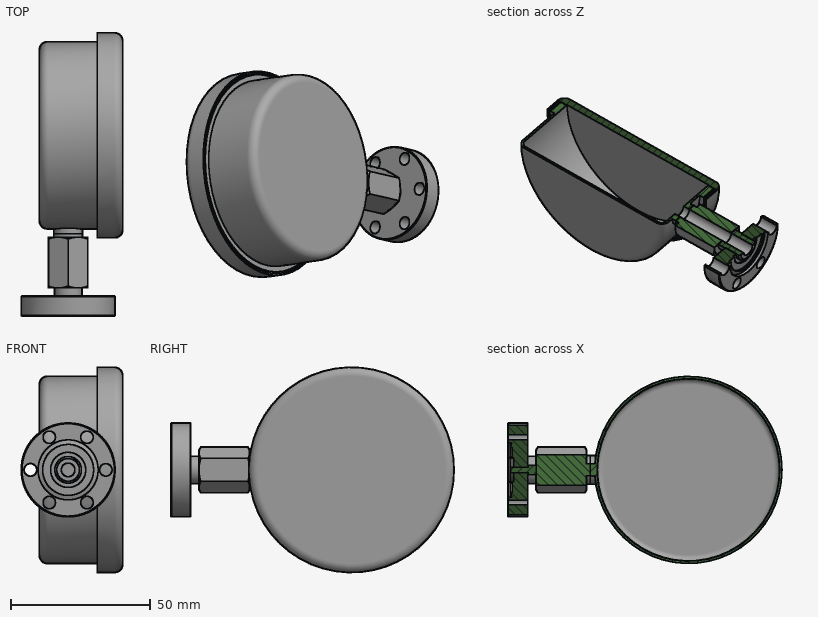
import cadquery as cq
import math


overall_length = 101.6

case_radius = 33.6
case_back_x = -10.4
case_wall = 1.0
corner_round = 3.0
neck_radius = 5.2
neck_end_y = -35.3
bore_radius = 2.4

bezel_diameter = 73.7
bezel_radius = bezel_diameter / 2
bezel_back_x = 10.4
bezel_front_x = 19.6
seal_outer_radius = 36.2
rim_radius = 35.6
recess_end_x = bezel_front_x - corner_round

hex_flats = 14.2
hex_turn = 30.0
hex_back_y = -36.5
hex_front_y = -54.7
hex_face_radius = 7.1
hex_chamfer_angle = 30.0

flange_radius = 16.9
flange_thickness = 7.2
flange_front_y = bezel_radius - overall_length
flange_back_y = flange_front_y + flange_thickness
flange_chamfer = 0.3
bolt_count = 6
bolt_circle_radius = 13.5
bolt_hole_radius = 2.2
gasket_radius = 10.8
gasket_depth = 1.3
floor_depth = 1.5
knife_radius = 9.1
knife_depth = 0.8
groove_radius = 6.3
groove_depth = 2.0

tube_radius = 5.0
nose_radius = 4.8
nose_chamfer = 0.7
tube_front_depth = 0.3
tube_front_y = flange_front_y + tube_front_depth


def disc_x(radius, start_x, end_x):
    """Solid cylinder about the dial axis."""
    return cq.Workplane("YZ").workplane(offset=start_x).circle(radius).extrude(end_x - start_x)


def rod_y(radius, back_y, front_y):
    """Solid cylinder about the connection axis, running from back_y towards -Y."""
    return cq.Workplane("XZ").workplane(offset=-back_y).circle(radius).extrude(back_y - front_y)


def revolve_y(profile_points):
    """Revolve a closed (radius, y) profile about the connection axis."""
    return cq.Workplane("XY").polyline(profile_points).close().revolve(360, (0, 0), (0, 1))


def make_case():
    """Hollow cup with a round neck and an outward rim at its open front."""
    drum = disc_x(case_radius, case_back_x, recess_end_x).faces("<X").edges().fillet(corner_round)
    rim = disc_x(rim_radius, bezel_back_x, recess_end_x)
    neck = rod_y(neck_radius, 0, neck_end_y)
    cavity = disc_x(case_radius - case_wall, case_back_x + case_wall, recess_end_x)
    cavity = cavity.faces("<X").edges().fillet(corner_round - case_wall)
    return drum.union(rim).union(neck).cut(cavity).cut(rod_y(bore_radius, 0, neck_end_y))


def make_seal_ring():
    """Thin ring between the case rim and the bezel."""
    ring = disc_x(seal_outer_radius, bezel_back_x, recess_end_x)
    return ring.cut(disc_x(rim_radius, bezel_back_x, recess_end_x))


def make_bezel():
    """Cap with a rounded front edge, recessed from the back for the rim and seal ring."""
    cap = disc_x(bezel_radius, bezel_back_x, bezel_front_x).faces(">X").edges().fillet(corner_round)
    return cap.cut(disc_x(seal_outer_radius, bezel_back_x, recess_end_x))


def make_hex_union():
    """Bored hexagon with chamfered ends and a round boss that meets the neck."""
    hex_length = hex_back_y - hex_front_y
    corner_radius = hex_flats / math.sqrt(3)
    hexagon = (
        cq.Workplane("XZ")
        .workplane(offset=-hex_back_y)
        .polygon(6, 2 * corner_radius)
        .extrude(hex_length)
        .rotate((0, 0, 0), (0, 1, 0), hex_turn)
    )
    chamfer_drop = (corner_radius - hex_face_radius) * math.tan(math.radians(hex_chamfer_angle))
    envelope = revolve_y([
        (0, hex_back_y),
        (hex_face_radius, hex_back_y),
        (corner_radius, hex_back_y - chamfer_drop),
        (corner_radius, hex_front_y + chamfer_drop),
        (hex_face_radius, hex_front_y),
        (0, hex_front_y),
    ])
    boss = rod_y(neck_radius, neck_end_y, hex_back_y)
    bore = rod_y(bore_radius, neck_end_y, hex_front_y)
    return hexagon.intersect(envelope).union(boss).cut(bore)


def make_tube():
    """Bored tube from the union to the flange, with a chamfered nose through the flange."""
    tube = rod_y(tube_radius, hex_front_y, flange_back_y)
    nose = rod_y(nose_radius, flange_back_y, tube_front_y).faces("<Y").edges().chamfer(nose_chamfer)
    return tube.union(nose).cut(rod_y(bore_radius, hex_front_y, tube_front_y))


def make_flange():
    """Knife-edge flange with a gasket recess, a groove around the tube nose and bolt holes."""
    rim_end_radius = flange_radius - flange_chamfer
    floor_y = flange_front_y + floor_depth
    groove_y = flange_front_y + groove_depth
    flange = revolve_y([
        (nose_radius, flange_back_y),
        (rim_end_radius, flange_back_y),
        (flange_radius, flange_back_y - flange_chamfer),
        (flange_radius, flange_front_y + flange_chamfer),
        (rim_end_radius, flange_front_y),
        (gasket_radius, flange_front_y),
        (gasket_radius, flange_front_y + gasket_depth),
        (knife_radius, flange_front_y + knife_depth),
        (knife_radius, floor_y),
        (groove_radius, floor_y),
        (groove_radius, groove_y),
        (nose_radius, groove_y),
    ])
    for index in range(bolt_count):
        angle = 2 * math.pi * index / bolt_count
        hole = rod_y(bolt_hole_radius, flange_back_y, flange_front_y).translate(
            (bolt_circle_radius * math.cos(angle), 0, bolt_circle_radius * math.sin(angle))
        )
        flange = flange.cut(hole)
    return flange


case = make_case()
seal_ring = make_seal_ring()
bezel = make_bezel()
hex_union = make_hex_union()
tube = make_tube()
flange = make_flange()

result = cq.Compound.makeCompound([
    case.solids().val(),
    seal_ring.solids().val(),
    bezel.solids().val(),
    hex_union.solids().val(),
    tube.solids().val(),
    flange.solids().val(),
])